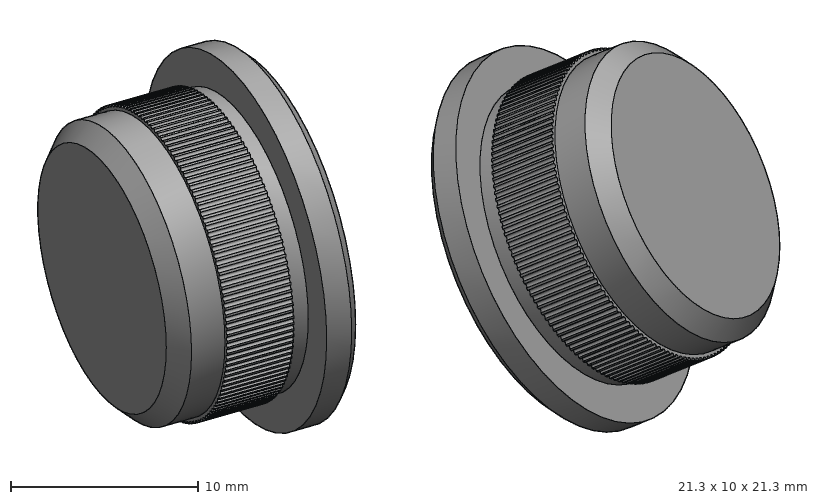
import cadquery as cq
import math

TOTAL_LENGTH = 10.0
FLANGE_THICKNESS = 2.0
NECK_LENGTH = 1.0
KNURL_LENGTH = 4.0

FLANGE_DIAMETER = 21.3
PLUG_DIAMETER = 17.0
KNURL_DIAMETER = 17.6

FLANGE_CHAMFER = 0.5
LEAD_IN_CHAMFER = 1.0

GROOVE_COUNT = 140
GROOVE_DIAMETER = 0.25

FLANGE_START = TOTAL_LENGTH - FLANGE_THICKNESS
KNURL_END = FLANGE_START - NECK_LENGTH
KNURL_START = KNURL_END - KNURL_LENGTH


def cylinder_along_y(diameter, start, length):
    """Solid cylinder on the Y axis, from y = start to y = start + length."""
    plane = cq.Plane(origin=(0, start, 0), xDir=(1, 0, 0), normal=(0, 1, 0))
    return cq.Workplane(plane).circle(diameter / 2).extrude(length)


def make_plug():
    """Press-in plug with a lead-in chamfer on its free end."""
    plug = cylinder_along_y(PLUG_DIAMETER, 0, FLANGE_START)
    return plug.faces("<Y").chamfer(LEAD_IN_CHAMFER)


def make_flange():
    """Head disc with a chamfered outer rim."""
    flange = cylinder_along_y(FLANGE_DIAMETER, FLANGE_START, FLANGE_THICKNESS)
    return flange.faces(">Y").chamfer(FLANGE_CHAMFER)


def rim_point(radius, angle):
    """Point at the given angle on a circle centred on the axis."""
    return radius * math.cos(angle), radius * math.sin(angle)


def make_knurl():
    """Band with round axial grooves all around; the first groove is centred on +X."""
    outer_radius = KNURL_DIAMETER / 2
    root_radius = outer_radius - GROOVE_DIAMETER / 2
    pitch = 2 * math.pi / GROOVE_COUNT
    half_groove = 2 * math.asin(GROOVE_DIAMETER / 2 / (2 * outer_radius))

    plane = cq.Plane(origin=(0, KNURL_START, 0), xDir=(1, 0, 0), normal=(0, 1, 0))
    outline = cq.Workplane(plane).moveTo(*rim_point(outer_radius, -half_groove))
    for groove in range(GROOVE_COUNT):
        angle = groove * pitch
        groove_bottom = rim_point(root_radius, angle)
        groove_end = rim_point(outer_radius, angle + half_groove)
        land_middle = rim_point(outer_radius, angle + pitch / 2)
        land_end = rim_point(outer_radius, angle + pitch - half_groove)
        outline = outline.threePointArc(groove_bottom, groove_end)
        outline = outline.threePointArc(land_middle, land_end)
    return outline.close().extrude(KNURL_LENGTH)


result = make_plug().union(make_flange()).union(make_knurl())